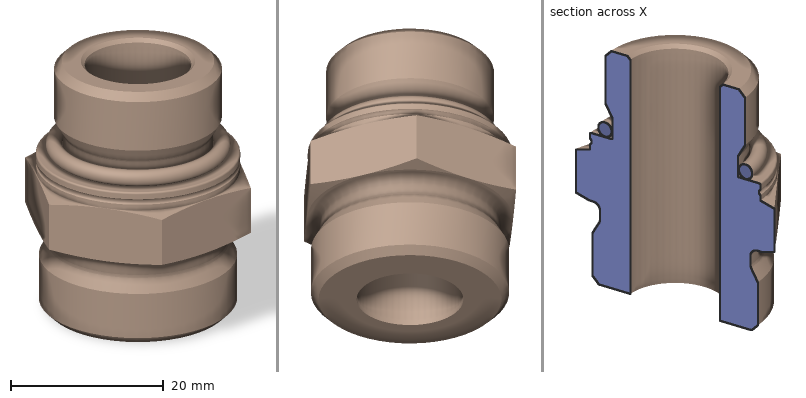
import cadquery as cq
import math

total_height = 35.0
bore_diameter = 14.0
bore_chamfer = 0.5

lower_diameter = 26.0
lower_groove_diameter = 23.7
lower_shoulder_z = 7.35

upper_diameter = 22.0
neck_diameter = 19.7
upper_shoulder_z = 27.02

end_chamfer = 1.0
runout_angle = math.radians(60)
lower_runout_fillet = 0.77
upper_runout_fillet = 0.35

hex_across_flats = 27.0
hex_bottom_z = 11.97
hex_top_z = 19.53
hex_chamfer_angle = math.radians(15)
hex_root_fillet = 1.0

collar_diameter = 26.8
collar_top_z = 22.05
collar_edge_fillet = 0.25
collar_groove_z = 20.72
collar_groove_width = 0.77
collar_groove_depth = 0.25

ring_section_diameter = 2.17
ring_outer_diameter = 24.22

lower_radius = lower_diameter / 2
lower_groove_radius = lower_groove_diameter / 2
upper_radius = upper_diameter / 2
neck_radius = neck_diameter / 2
collar_radius = collar_diameter / 2
bore_radius = bore_diameter / 2
lower_runout_z = lower_shoulder_z + (lower_radius - lower_groove_radius) * math.tan(runout_angle)
upper_runout_z = upper_shoulder_z - (upper_radius - neck_radius) * math.tan(runout_angle)


def circle_edges(solid, radius, z):
    """Select the circular edge of the given radius and height about the Z axis."""
    tolerance = 0.005
    reach = radius + 0.35
    box = cq.selectors.BoxSelector((-reach, -reach, z - tolerance), (reach, reach, z + tolerance), True)
    edges = solid.edges(box).edges("%CIRCLE")
    return edges.filter(lambda edge: abs(edge.radius() - radius) < tolerance)


def make_lower_end():
    profile = [
        (0, 0),
        (lower_radius - end_chamfer, 0),
        (lower_radius, end_chamfer),
        (lower_radius, lower_shoulder_z),
        (lower_groove_radius, lower_runout_z),
        (lower_groove_radius, hex_bottom_z),
        (0, hex_bottom_z),
    ]
    end = cq.Workplane("XZ").polyline(profile).close().revolve(360, (0, 0), (0, 1))
    return circle_edges(end, lower_groove_radius, lower_runout_z).fillet(lower_runout_fillet)


def make_upper_end():
    profile = [
        (0, collar_top_z),
        (neck_radius, collar_top_z),
        (neck_radius, upper_runout_z),
        (upper_radius, upper_shoulder_z),
        (upper_radius, total_height - end_chamfer),
        (upper_radius - end_chamfer, total_height),
        (0, total_height),
    ]
    end = cq.Workplane("XZ").polyline(profile).close().revolve(360, (0, 0), (0, 1))
    return circle_edges(end, neck_radius, upper_runout_z).fillet(upper_runout_fillet)


def make_hexagon():
    """Hexagon with corners along Y, its corners turned down to a cone at both faces."""
    corner_radius = hex_across_flats / math.sqrt(3)
    face_radius = hex_across_flats / 2
    corner_drop = (corner_radius - face_radius) * math.tan(hex_chamfer_angle)
    prism = (
        cq.Workplane("XY", origin=(0, 0, hex_bottom_z))
        .polygon(6, 2 * corner_radius)
        .extrude(hex_top_z - hex_bottom_z)
        .rotate((0, 0, 0), (0, 0, 1), 30)
    )
    envelope_profile = [
        (0, hex_bottom_z),
        (face_radius, hex_bottom_z),
        (corner_radius, hex_bottom_z + corner_drop),
        (corner_radius, hex_top_z - corner_drop),
        (face_radius, hex_top_z),
        (0, hex_top_z),
    ]
    envelope = cq.Workplane("XZ").polyline(envelope_profile).close().revolve(360, (0, 0), (0, 1))
    return prism.intersect(envelope)


def make_collar():
    """Round collar with a softened top edge and a shallow arc groove around it."""
    collar = (
        cq.Workplane("XY", origin=(0, 0, hex_top_z))
        .circle(collar_radius)
        .extrude(collar_top_z - hex_top_z)
        .faces(">Z")
        .edges()
        .fillet(collar_edge_fillet)
    )
    half_width = collar_groove_width / 2
    groove = (
        cq.Workplane("XZ")
        .moveTo(collar_radius, collar_groove_z - half_width)
        .threePointArc(
            (collar_radius - collar_groove_depth, collar_groove_z),
            (collar_radius, collar_groove_z + half_width),
        )
        .close()
        .revolve(360, (0, 0), (0, 1))
    )
    return collar.cut(groove)


def make_fitting():
    fitting = make_lower_end().union(make_hexagon()).union(make_collar()).union(make_upper_end())
    fitting = circle_edges(fitting, lower_groove_radius, hex_bottom_z).fillet(hex_root_fillet)
    bore = cq.Workplane("XY").circle(bore_radius).extrude(total_height)
    fitting = fitting.cut(bore)
    return circle_edges(fitting, bore_radius, total_height).chamfer(bore_chamfer)


def make_o_ring():
    """O-ring resting on the collar with a slight clearance around the neck."""
    section_radius = ring_section_diameter / 2
    centre_radius = ring_outer_diameter / 2 - section_radius
    return (
        cq.Workplane("XZ")
        .center(centre_radius, collar_top_z + section_radius)
        .circle(section_radius)
        .revolve(360, (-centre_radius, 0), (-centre_radius, 1))
    )


fitting = make_fitting()
o_ring = make_o_ring()
result = cq.Compound.makeCompound([fitting.val(), o_ring.val()])